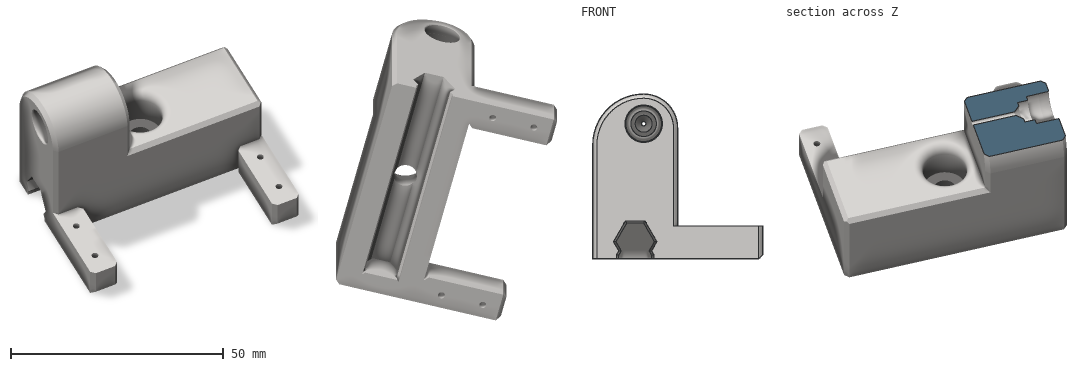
import cadquery as cq
import math

body_width = 20.0
body_length = 54.5
block_height = 20.77
chamfer = 1.0

tower_length = 20.0
tower_height = 38.77
left_radius = 12.0
right_radius = body_width - left_radius

arm_tip_x = 40.0
arm_width = 7.0
arm_height = 7.8
arm_root_x = body_width - chamfer
arm_hole_diameter = 1.6
arm_hole_inset = 3.2
arm_hole_positions_x = (25.0, 35.0)

screw_x = body_width / 2
screw_y = body_length / 2
screw_diameter = 5.4
head_diameter = 10.4
head_floor_z = 12.0
head_mouth_radius = 2.0

bore_x = left_radius
bore_z = tower_height - 7.0
mouth_diameter = 8.8
entry_diameter = 8.47
mouth_depth = (mouth_diameter - entry_diameter) / 2
entry_depth = 2.5
seat_diameter = 8.4
seat_depth = 5.5
relief_diameter = 6.0
relief_depth = 8.0
cone_diameter = 4.0
pin_diameter = 1.0
cone_depth = relief_depth + (cone_diameter - pin_diameter) / 2

slot_x = body_width / 2
slot_height = 8.95
slot_widest_z = 4.05
slot_waist_z = 1.9
slot_foot_z = 1.0
slot_half_width = 5.1
slot_end_y = 50.0
slot_end_chamfer = 0.5
flank_slope = math.tan(math.radians(60))


def make_tower():
    """Upright with a rounded top, chamfered around both ends except along the bottom."""
    left_spring_z = tower_height - left_radius
    right_spring_z = tower_height - right_radius
    diagonal = math.sqrt(0.5)
    left_mid = (left_radius * (1 - diagonal), left_spring_z + left_radius * diagonal)
    right_mid = (left_radius + right_radius * diagonal, right_spring_z + right_radius * diagonal)
    tower = (
        cq.Workplane("XZ")
        .lineTo(body_width, 0)
        .lineTo(body_width, right_spring_z)
        .threePointArc(right_mid, (left_radius, tower_height))
        .threePointArc(left_mid, (0, left_spring_z))
        .close()
        .extrude(-tower_length)
    )
    return tower.faces("<Y or >Y").edges("not <Z").chamfer(chamfer)


def make_block():
    """Low block behind the tower, rooted halfway inside it; its chamfers are mitred at the corners."""
    root_y = tower_length / 2
    plain_block = cq.Workplane("XY").box(body_width, body_length - root_y, block_height, centered=False)
    block = plain_block
    for edge_group in ("|Y and >Z", "|X and >Y and >Z", "|Z and >Y"):
        block = block.intersect(plain_block.edges(edge_group).chamfer(chamfer))
    return block.translate((0, root_y, 0))


def make_front_arm():
    """Arm along X, flush with the front end; its inner corner is cut back beside the body."""
    arm = (
        cq.Workplane("XY")
        .moveTo(arm_root_x, 0)
        .lineTo(arm_tip_x, 0)
        .lineTo(arm_tip_x, arm_width)
        .lineTo(body_width + chamfer, arm_width)
        .lineTo(body_width, arm_width - chamfer)
        .lineTo(arm_root_x, arm_width - chamfer)
        .close()
        .extrude(arm_height)
    )
    arm = arm.faces(">X").edges("not >Z").chamfer(chamfer)
    hole_points = [(x, arm_hole_inset) for x in arm_hole_positions_x]
    holes = cq.Workplane("XY").pushPoints(hole_points).circle(arm_hole_diameter / 2).extrude(arm_height)
    return arm.cut(holes)


def make_screw_hole():
    """Through hole with a head recess whose mouth is rounded outward."""
    shank_radius = screw_diameter / 2
    head_radius = head_diameter / 2
    mouth_outer_radius = head_radius + head_mouth_radius
    arc_inset = head_mouth_radius * (1 - math.sqrt(0.5))
    profile = (
        cq.Workplane("XZ")
        .lineTo(shank_radius, 0)
        .lineTo(shank_radius, head_floor_z)
        .lineTo(head_radius, head_floor_z)
        .lineTo(head_radius, block_height - head_mouth_radius)
        .threePointArc(
            (head_radius + arc_inset, block_height - arc_inset),
            (mouth_outer_radius, block_height),
        )
        .lineTo(0, block_height)
        .close()
    )
    return profile.revolve(360, (0, 0, 0), (0, 1, 0)).translate((screw_x, screw_y, 0))


def make_tower_bore():
    """Stepped bore ending in a cone and a small through hole."""
    profile = (
        cq.Workplane("XY")
        .lineTo(mouth_diameter / 2, 0)
        .lineTo(entry_diameter / 2, mouth_depth)
        .lineTo(entry_diameter / 2, entry_depth)
        .lineTo(seat_diameter / 2, entry_depth)
        .lineTo(seat_diameter / 2, seat_depth)
        .lineTo(relief_diameter / 2, seat_depth)
        .lineTo(relief_diameter / 2, relief_depth)
        .lineTo(cone_diameter / 2, relief_depth)
        .lineTo(pin_diameter / 2, cone_depth)
        .lineTo(pin_diameter / 2, tower_length)
        .lineTo(0, tower_length)
        .close()
    )
    return profile.revolve(360, (0, 0, 0), (0, 1, 0)).translate((bore_x, 0, bore_z))


def slot_prism(start_y, end_y):
    """Prism with the slot's cross-section between two Y positions."""
    top_half = slot_half_width - (slot_height - slot_widest_z) / flank_slope
    waist_half = slot_half_width - (slot_widest_z - slot_waist_z) / flank_slope
    foot_half = waist_half + (slot_waist_z - slot_foot_z) / flank_slope
    right_side = [
        (foot_half, 0),
        (foot_half, slot_foot_z),
        (waist_half, slot_waist_z),
        (slot_half_width, slot_widest_z),
        (top_half, slot_height),
    ]
    left_side = [(-x, z) for x, z in reversed(right_side)]
    section = cq.Workplane("XZ").polyline(right_side + left_side).close()
    return section.extrude(start_y - end_y).translate((slot_x, start_y, 0))


def make_slot():
    """Slot from the front end, closed by an end wall whose rim is chamfered back."""
    rim_y = slot_end_y + slot_end_chamfer
    end_wall = slot_prism(slot_end_y, body_length)
    end_wall = end_wall.faces("<Y").edges("not <Z").chamfer(slot_end_chamfer)
    return slot_prism(0, rim_y).cut(end_wall)


front_arm = make_front_arm()
rear_arm = front_arm.mirror("XZ", (0, body_length / 2, 0))

result = make_tower().union(make_block()).union(front_arm).union(rear_arm)
for cavity in (make_screw_hole(), make_tower_bore(), make_slot()):
    result = result.cut(cavity)